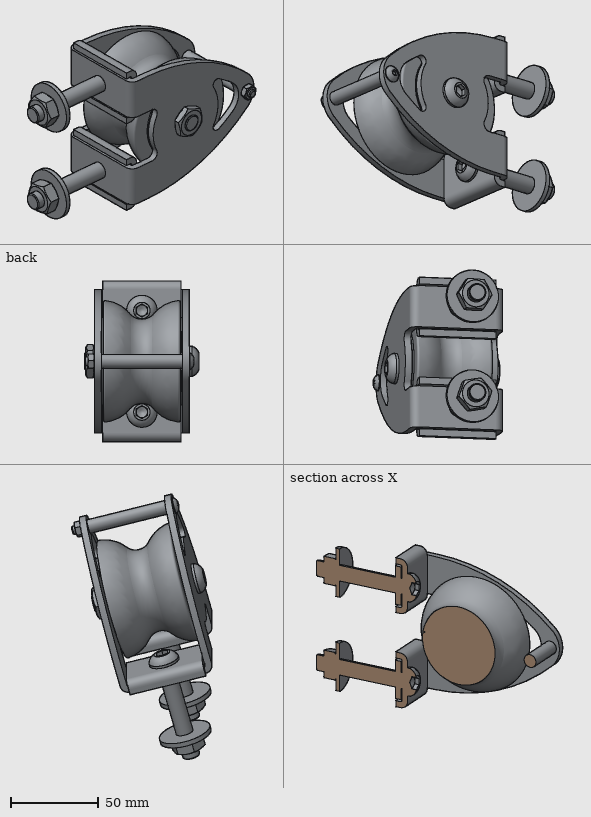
import cadquery as cq
import math


overall_length = 146.6

bracket_width = 54.2
sheet = 4.0
bracket_back_y = -41.8
half_height = 41.0
notch_half_height = 17.2
bend_radius = 4.8
flank_radius = 114.8
flank_end_y = -29.3
tip_radius = 15.0
rim_width = 8.8
window_tip_radius = 12.0
window_end_radius = 3.1
notch_corner_radius = 4.0

channel_width = 44.9
channel_gap = 0.3
channel_half_height = 17.0
mount_z = 29.0
bolt_diameter = 10.0
washer_diameter = 30.0
washer_thickness = 2.8
washer_back_y = -81.1
nut_flats = 17.0
nut_height = 7.9
mount_nut_turns = {1: -2.0, -1: 11.0}

head_diameter = 17.5
head_height = 5.5
head_rim = 1.5
head_face_diameter = 9.4
socket_flats = 6.5

roller_width = 44.0
roller_radius = 34.7
roller_edge = 1.2
hub_radius = 25.0
hub_gap = 0.3
flank_mid_x = 12.9
flank_mid_radius = 32.3
groove_edge_x = 6.0
groove_edge_radius = 26.4
groove_radius = 24.0
thread_end_x = 32.8
axle_nut_height = 5.0
axle_nut_turn = -20.0

pin_y = 46.9
spacer_diameter = 8.0
pin_thread_diameter = 5.0
pin_head_diameter = 9.7
pin_head_height = 2.8
pin_head_rim = 0.5
pin_head_face_diameter = 3.5
pin_socket_flats = 3.0
pin_nut_flats = 8.0
pin_nut_height = 3.8
pin_nut_turn = 6.0

dome_bulge_ratio = 0.09
socket_depth_ratio = 0.5
drill_point_ratio = 0.25
nut_chamfer_ratio = 0.12
thread_chamfer = 0.6

half_width = bracket_width / 2
inner_x = half_width - sheet
flank_center_z = half_height - flank_radius
tip_y = flank_end_y + math.sqrt((flank_radius - tip_radius) ** 2 - flank_center_z**2) + tip_radius
bolt_end_y = tip_y - overall_length
inner_bend_radius = bend_radius - sheet
channel_back_y = bracket_back_y + channel_gap
channel_front_y = channel_back_y + 2 * sheet

button_head_sizes = (head_diameter, head_height, head_rim, head_face_diameter, socket_flats)
pin_head_sizes = (pin_head_diameter, pin_head_height, pin_head_rim, pin_head_face_diameter, pin_socket_flats)
pin_nut_sizes = (pin_nut_flats, pin_nut_height, pin_nut_turn)
axle_nut_sizes = (nut_flats, axle_nut_height, axle_nut_turn)


def x_cylinder(radius, length, y=0.0, z=0.0):
    """Cylinder along X, centred on x = 0."""
    return cq.Workplane("YZ", origin=(-length / 2, y, z)).circle(radius).extrude(length)


def make_nose():
    """Front of the bracket: two mirrored flank arcs joined by a rounded tip."""
    overlap = x_cylinder(flank_radius, bracket_width, flank_end_y, flank_center_z)
    overlap = overlap.intersect(x_cylinder(flank_radius, bracket_width, flank_end_y, -flank_center_z))
    front = cq.Workplane().box(bracket_width, 2 * flank_radius, 2 * half_height)
    nose = overlap.intersect(front.translate((0, flank_end_y + flank_radius, 0)))
    return nose.edges("|X and >Y").fillet(tip_radius)


def make_window():
    """Opening behind the tip, between the rim and the hub disc, with round ends tangent to both."""
    outer_radius = flank_radius - rim_width
    flank_center = cq.Vector(flank_end_y, flank_center_z)

    tip_reach = outer_radius - window_tip_radius
    tip_center = cq.Vector(flank_end_y + math.sqrt(tip_reach**2 - flank_center_z**2), 0)

    end_reach = outer_radius - window_end_radius
    hub_reach = hub_radius + window_end_radius
    span = flank_center.Length
    cos_angle = (hub_reach**2 + span**2 - end_reach**2) / (2 * hub_reach * span)
    end_angle = math.atan2(flank_center.y, flank_center.x) + math.acos(cos_angle)
    end_center = cq.Vector(math.cos(end_angle), math.sin(end_angle)) * hub_reach

    def on_flank(toward):
        return flank_center + (toward - flank_center).normalized() * outer_radius

    def mirrored(point):
        return cq.Vector(point.x, -point.y)

    hub_point = end_center.normalized() * hub_radius
    end_point = on_flank(end_center)
    end_middle = end_center + cq.Vector(-hub_point.y, hub_point.x).normalized() * window_end_radius
    flank_point = on_flank(tip_center)
    flank_middle = on_flank((end_point + flank_point) * 0.5)
    outline = (
        cq.Workplane("YZ")
        .moveTo(hub_point.x, hub_point.y)
        .threePointArc(end_middle, end_point)
        .threePointArc(flank_middle, flank_point)
        .threePointArc((tip_center.x + window_tip_radius, 0), mirrored(flank_point))
        .threePointArc(mirrored(flank_middle), mirrored(end_point))
        .threePointArc(mirrored(end_middle), mirrored(hub_point))
        .threePointArc((hub_radius, 0), hub_point)
        .close()
    )
    return outline.extrude(half_width, both=True)


def hexagon_diameter(flats):
    """Diameter across the corners for a width across the flats."""
    return flats * 2 / math.sqrt(3)


def button_head(plane, diameter, height, rim, face_diameter, flats):
    """Domed socket head standing on the plane."""
    radius = diameter / 2
    face_radius = face_diameter / 2
    bulge = dome_bulge_ratio * height
    dome_mid = ((radius + face_radius) / 2 + bulge, (height + rim) / 2 + bulge)
    profile = cq.Workplane("XZ").lineTo(radius, 0).lineTo(radius, rim)
    profile = profile.threePointArc(dome_mid, (face_radius, height)).lineTo(0, height).close()
    head = profile.revolve(360, (0, 0), (0, 1))
    socket_depth = socket_depth_ratio * height
    point_depth = drill_point_ratio * height
    socket = cq.Workplane(origin=(0, 0, height)).transformed(rotate=(0, 0, 90))
    socket = socket.polygon(6, hexagon_diameter(flats)).extrude(-socket_depth)
    drill_point = cq.Solid.makeCone(
        flats / 2, 0, point_depth, cq.Vector(0, 0, height - socket_depth), cq.Vector(0, 0, -1)
    )
    head = head.cut(socket).cut(cq.Workplane(drill_point))
    return cq.Workplane(head.val().located(cq.Location(plane)))


def hex_nut(plane, flats, height, turn):
    """Hexagon nut standing on the plane, corners chamfered on both faces."""
    corner_diameter = hexagon_diameter(flats)
    chamfer_width = nut_chamfer_ratio * flats
    chamfer_height = chamfer_width / 2
    prism = cq.Workplane("XY").polygon(6, corner_diameter).extrude(height).rotate((0, 0, 0), (0, 0, 1), turn)
    corner_radius = corner_diameter / 2
    face_radius = corner_radius - chamfer_width
    blank = (
        cq.Workplane("XZ")
        .lineTo(face_radius, 0)
        .lineTo(corner_radius, chamfer_height)
        .lineTo(corner_radius, height - chamfer_height)
        .lineTo(face_radius, height)
        .lineTo(0, height)
        .close()
        .revolve(360, (0, 0), (0, 1))
    )
    nut = prism.intersect(blank)
    return cq.Workplane(nut.val().located(cq.Location(plane)))


def make_bracket():
    """Sheet bent to a U, with two cheeks and a split back."""
    tail_length = flank_end_y - bracket_back_y
    tail = cq.Workplane().box(bracket_width, tail_length, 2 * half_height)
    tail = tail.translate((0, (flank_end_y + bracket_back_y) / 2, 0))
    tail = tail.edges("|Z and <Y").fillet(bend_radius)
    body = tail.union(make_nose())

    inside_length = 2 * flank_radius
    inside = cq.Workplane().box(2 * inner_x, inside_length, 2 * half_height)
    inside = inside.translate((0, bracket_back_y + sheet + inside_length / 2, 0))
    inside = inside.edges("|Z and <Y").fillet(inner_bend_radius)

    notch_depth = -2 * bracket_back_y
    notch = cq.Workplane().box(bracket_width, notch_depth, 2 * notch_half_height)
    notch = notch.translate((0, -notch_depth / 2, 0)).cut(x_cylinder(hub_radius, bracket_width))
    notch = notch.edges("|X and >Y").fillet(notch_corner_radius)
    return body.cut(inside).cut(make_window()).cut(notch)


def make_roller():
    """Solid of revolution with a rope groove, and a hub disc on each side."""
    end_x = roller_width / 2
    shoulder_x = end_x - roller_edge
    face_radius = roller_radius - roller_edge
    edge_mid_x = shoulder_x + roller_edge * math.sqrt(0.5)
    edge_mid_radius = face_radius + roller_edge * math.sqrt(0.5)
    profile = (
        cq.Workplane("XY")
        .moveTo(-end_x, 0)
        .lineTo(-end_x, face_radius)
        .threePointArc((-edge_mid_x, edge_mid_radius), (-shoulder_x, roller_radius))
        .threePointArc((-flank_mid_x, flank_mid_radius), (-groove_edge_x, groove_edge_radius))
        .threePointArc((0, groove_radius), (groove_edge_x, groove_edge_radius))
        .threePointArc((flank_mid_x, flank_mid_radius), (shoulder_x, roller_radius))
        .threePointArc((edge_mid_x, edge_mid_radius), (end_x, face_radius))
        .lineTo(end_x, 0)
        .close()
    )
    roller = profile.revolve(360, (0, 0), (1, 0))
    disc_end_x = inner_x - hub_gap
    disc_thickness = disc_end_x - end_x
    for disc_x in (-disc_end_x, end_x):
        disc = cq.Workplane("YZ", origin=(disc_x, 0, 0)).circle(hub_radius).extrude(disc_thickness)
        roller = roller.union(disc)
    return roller


def make_cross_bolt(y, thread_diameter, head_sizes, nut_sizes):
    """Screw along X: head outside the -X cheek, nut outside the +X cheek."""
    head_plane = cq.Plane((-half_width, y, 0), (0, 1, 0), (-1, 0, 0))
    nut_plane = cq.Plane((half_width, y, 0), (0, 1, 0), (1, 0, 0))
    shank = cq.Workplane("YZ", origin=(-half_width, y, 0)).circle(thread_diameter / 2)
    shank = shank.extrude(half_width + thread_end_x).faces(">X").chamfer(thread_chamfer)
    return shank.union(button_head(head_plane, *head_sizes)).union(hex_nut(nut_plane, *nut_sizes))


def make_mount(side):
    """Clamp channel with its bolt, washer and nut; side is +1 above, -1 below."""
    z = side * mount_z
    channel = cq.Workplane().box(channel_width, 2 * sheet, 2 * channel_half_height)
    channel = channel.translate((0, channel_back_y + sheet, z))
    channel = channel.edges("|X and >Y").fillet(bend_radius)
    pocket_half_height = channel_half_height - sheet
    pocket = cq.Workplane().box(channel_width, sheet, 2 * pocket_half_height)
    pocket = pocket.edges("|X and >Y").fillet(inner_bend_radius)
    channel = channel.cut(pocket.translate((0, channel_back_y + sheet / 2, z)))

    def back_plane(y):
        return cq.Plane((0, y, z), (1, 0, 0), (0, -1, 0))

    head_plane = cq.Plane((0, channel_front_y, z), (1, 0, 0), (0, 1, 0))
    head = button_head(head_plane, *button_head_sizes)
    shank = cq.Workplane(back_plane(channel_front_y)).circle(bolt_diameter / 2)
    shank = shank.extrude(channel_front_y - bolt_end_y).faces("<Y").chamfer(thread_chamfer)
    washer = cq.Workplane(back_plane(washer_back_y)).circle(washer_diameter / 2).extrude(-washer_thickness)
    nut = hex_nut(back_plane(washer_back_y), nut_flats, nut_height, mount_nut_turns[side])
    return channel.union(head).union(shank).union(washer).union(nut)


axle = make_cross_bolt(0, bolt_diameter, button_head_sizes, axle_nut_sizes)
pin = make_cross_bolt(pin_y, pin_thread_diameter, pin_head_sizes, pin_nut_sizes)
spacer = x_cylinder(spacer_diameter / 2, 2 * inner_x, pin_y)

result = make_bracket().union(make_roller()).union(axle).union(pin).union(spacer)
for side in (1, -1):
    result = result.union(make_mount(side))